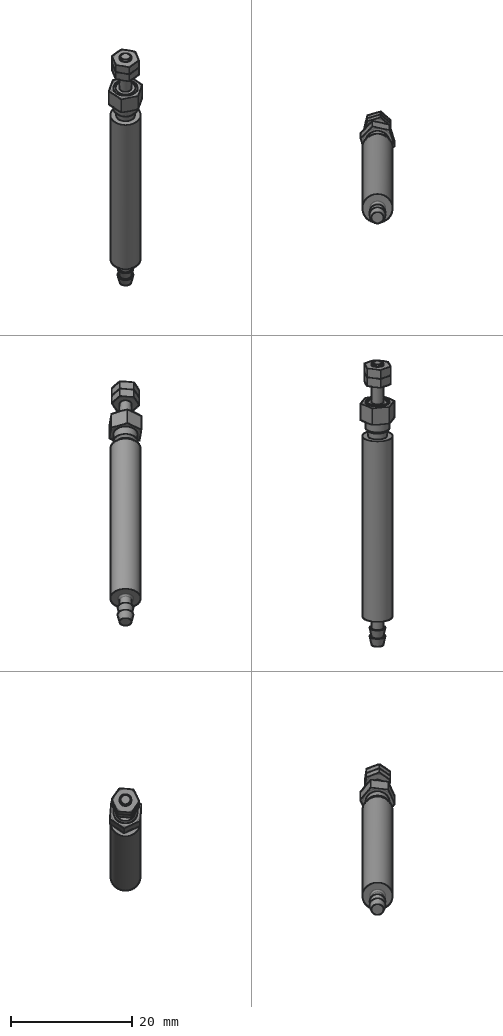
import cadquery as cq
import math

barb_pitch = 1.5
barb_count = 2
barrel_bottom = 5.0
barrel_length = 32.0
neck_length = 1.0
spigot_length = 6.0
lock_nut_thickness = 1.6
mount_nut_thickness = 3.0
total_length = 50.0
barrel_top = barrel_bottom + barrel_length
thread_bottom = barrel_top + neck_length
thread_top = barrel_top + spigot_length

barrel_diameter = 5.0
neck_diameter = 3.14
mount_thread_diameter = 4.0
mount_thread_root = 3.24
rod_diameter = 2.0
rod_thread_root = 1.57
stem_diameter = 2.0
barb_diameter = 2.65

stem_root_radius = 0.3
thread_chamfer = (mount_thread_diameter - mount_thread_root) / 2
thread_runout = (mount_thread_diameter - neck_diameter) / 2
rod_chamfer = (rod_diameter - rod_thread_root) / 2
rod_tip_length = 0.4
nut_chamfer_angle = math.radians(10)

mount_nut_flats = 5.0
lock_nut_flats = 4.0
lock_nut_count = 2
mount_nut_turn = 0
lock_nut_turn = 90

rod_bottom = barrel_top


def make_housing():
    """Hose barbs, barrel, neck and threaded spigot, turned as one piece."""
    stem_radius = stem_diameter / 2
    barb_radius = barb_diameter / 2
    thread_radius = mount_thread_diameter / 2
    root_radius = mount_thread_root / 2

    profile = cq.Workplane("XZ").moveTo(0, 0).lineTo(stem_radius, 0)
    for i in range(barb_count):
        barb_top = (i + 1) * barb_pitch
        profile = profile.lineTo(barb_radius, barb_top).lineTo(stem_radius, barb_top)
    profile = (
        profile
        .lineTo(stem_radius, barrel_bottom - stem_root_radius)
        .radiusArc((stem_radius + stem_root_radius, barrel_bottom), stem_root_radius)
        .lineTo(barrel_diameter / 2, barrel_bottom)
        .lineTo(barrel_diameter / 2, barrel_top)
        .lineTo(neck_diameter / 2, barrel_top)
        .lineTo(neck_diameter / 2, thread_bottom)
        .lineTo(thread_radius, thread_bottom + thread_runout)
        .lineTo(thread_radius, thread_top - thread_chamfer)
        .lineTo(root_radius, thread_top)
        .lineTo(0, thread_top)
        .close()
    )
    turned = profile.revolve(360, (0, 0, 0), (0, 1, 0))
    rod_bore = (
        cq.Workplane("XY", origin=(0, 0, rod_bottom))
        .circle(rod_diameter / 2)
        .extrude(thread_top - rod_bottom)
    )
    return turned.cut(rod_bore)


def make_rod():
    """Plain rod with a chamfered top end."""
    return (
        cq.Workplane("XY", origin=(0, 0, rod_bottom))
        .circle(rod_diameter / 2)
        .extrude(total_length - rod_bottom)
        .faces(">Z")
        .chamfer(rod_chamfer)
    )


def make_nut(flats, thickness, bore_diameter, bottom, turn):
    """Hexagon nut with its corners bevelled by a cone at both ends."""
    corner_radius = flats / math.sqrt(3)
    flat_radius = flats / 2
    bevel = (corner_radius - flat_radius) * math.tan(nut_chamfer_angle)
    hexagon = (
        cq.Workplane("XY")
        .polygon(6, 2 * corner_radius)
        .extrude(thickness)
        .rotate((0, 0, 0), (0, 0, 1), turn)
    )
    envelope = (
        cq.Workplane("XZ")
        .moveTo(0, 0)
        .lineTo(flat_radius, 0)
        .lineTo(corner_radius, bevel)
        .lineTo(corner_radius, thickness - bevel)
        .lineTo(flat_radius, thickness)
        .lineTo(0, thickness)
        .close()
        .revolve(360, (0, 0, 0), (0, 1, 0))
    )
    bore = cq.Workplane("XY").circle(bore_diameter / 2).extrude(thickness)
    return hexagon.intersect(envelope).cut(bore).translate((0, 0, bottom))


housing = make_housing()
rod = make_rod()

mount_nut_bottom = thread_top - mount_nut_thickness
mount_nut = make_nut(
    mount_nut_flats, mount_nut_thickness, mount_thread_diameter, mount_nut_bottom, mount_nut_turn
)

lock_nuts_top = total_length - rod_tip_length
lock_nuts = []
for i in range(lock_nut_count):
    lock_nut_bottom = lock_nuts_top - (i + 1) * lock_nut_thickness
    lock_nut = make_nut(lock_nut_flats, lock_nut_thickness, rod_diameter, lock_nut_bottom, lock_nut_turn)
    lock_nuts.append(lock_nut.val())

result = cq.Compound.makeCompound([housing.val(), rod.val(), mount_nut.val(), *lock_nuts])